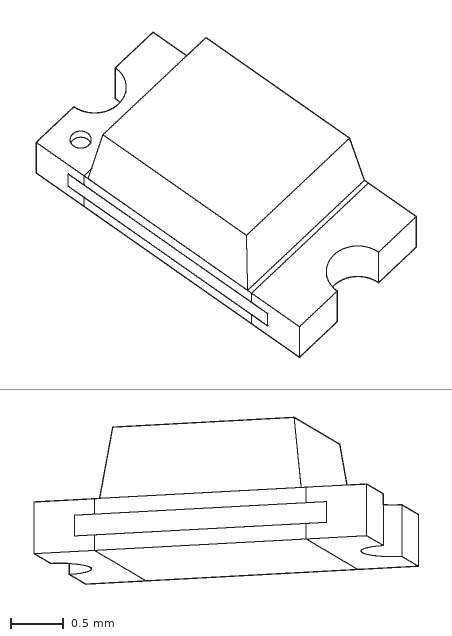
import cadquery as cq


length = 3.3
width = 1.7
height = 1.2

base_height = 0.5
board_length = 2.1
core_length = 2.5
core_thickness = 0.2
core_bottom = (base_height - core_thickness) / 2
core_top = core_bottom + core_thickness

terminal_length = (length - board_length) / 2
notch_radius = 0.3

mark_diameter = 0.2
mark_depth = 0.1
mark_x = -(length - terminal_length) / 2
mark_y = -0.55

lens_length = 2.0
lens_inset = 0.1
lens_height = height - base_height


def layer(layer_length, bottom, top):
    """Full-width flat block, centred on X and Y, between two heights."""
    return (
        cq.Workplane("XY")
        .workplane(offset=bottom)
        .rect(layer_length, width)
        .extrude(top - bottom)
    )


def make_terminal(side, core):
    """End terminal on one side (-1 or +1), notched at its end and slotted for the core."""
    block = (
        cq.Workplane("XY")
        .center(side * (length - terminal_length) / 2, 0)
        .rect(terminal_length, width)
        .extrude(base_height)
    )
    notch = (
        cq.Workplane("XY")
        .center(side * length / 2, 0)
        .circle(notch_radius)
        .extrude(base_height)
    )
    return block.cut(notch).cut(core)


def make_polarity_mark():
    """Cutter for the polarity recess."""
    return (
        cq.Workplane("XY")
        .workplane(offset=base_height - mark_depth)
        .center(mark_x, mark_y)
        .circle(mark_diameter / 2)
        .extrude(mark_depth)
    )


def make_lens():
    """Rectangular lens that narrows evenly towards its top."""
    return (
        cq.Workplane("XY")
        .workplane(offset=base_height)
        .rect(lens_length, width)
        .workplane(offset=lens_height)
        .rect(lens_length - 2 * lens_inset, width - 2 * lens_inset)
        .loft(ruled=True)
    )


core = layer(core_length, core_bottom, core_top)
lower_board = layer(board_length, 0, core_bottom)
upper_board = layer(board_length, core_top, base_height)
lens = make_lens()

left_terminal, right_terminal = [make_terminal(side, core) for side in (-1, 1)]
left_terminal = left_terminal.cut(make_polarity_mark())

result = cq.Compound.makeCompound([
    core.val(),
    lower_board.val(),
    upper_board.val(),
    left_terminal.solids().val(),
    right_terminal.solids().val(),
    lens.val(),
])